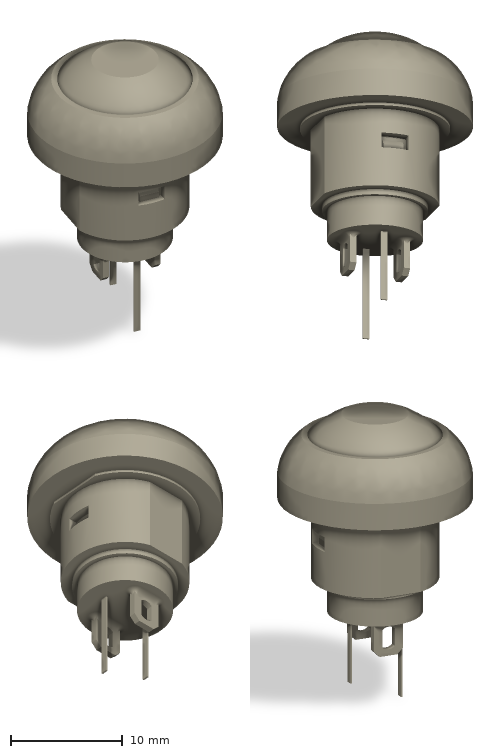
import cadquery as cq
import math

TOTAL_HEIGHT = 27.2
BEZEL_TOP = 25.2
BEZEL_DOME_FOOT = 21.7
BUTTON_SEAT = 20.2
BEZEL_BOTTOM = 19.2
LIP_BOTTOM = 18.95
BARREL_BOTTOM = 11.7
COLLAR_BOTTOM = 11.2
BASE_BOTTOM = 8.5

BEZEL_DIA = 17.5
BEZEL_TOP_DIA = 13.2
BUTTON_BORE_DIA = 12.1
LIP_DIA = 13.45
BARREL_DIA = 11.5
COLLAR_DIA = 9.5
BASE_DIA = 8.6
LENS_DIA = 2.6

BEZEL_MID_RADIUS = 8.02
BEZEL_MID_Z = 23.66

BARREL_ACROSS_FLATS = 10.83
LIP_FLAT_X = 6.15

BUTTON_DIA = 12.0
BUTTON_TOP_DIA = 6.05
BUTTON_SHOULDER = 25.05
BUTTON_MID_RADIUS = 4.6
BUTTON_MID_Z = 26.35

WINDOW_WIDTH = 2.55
WINDOW_BOTTOM = 15.3
WINDOW_TOP = 16.7
WINDOW_BACK_DIA = 10.0
SLIT_BOTTOM = 16.55
SLIT_DEPTH = 0.27
LATCH_WIDTH = 1.9
LATCH_EDGE_Z = 15.88
LATCH_TOP_Z = 16.2
LATCH_REACH = 0.1

TERMINAL_OFFSET = 2.53
TERMINAL_WIDTH = 2.88
TERMINAL_THICKNESS = 0.6
TERMINAL_BOTTOM = 5.1
TERMINAL_CHAMFER = 0.57
EYE_WIDTH = 1.25
EYE_BOTTOM = 5.7
EYE_TOP = 7.85
EYE_CROWN = 0.25
ROOT_RADIUS = 0.55

LEAD_OFFSET = 2.5
LEAD_THICKNESS = 0.15
LEAD_WIDTH = 0.6
SHORT_LEAD_BOTTOM = 2.05
LONG_LEAD_BOTTOM = 0.0


def disc(diameter, bottom, top):
    """Cylinder on the Z axis between two heights."""
    return cq.Workplane("XY").workplane(offset=bottom).circle(diameter / 2).extrude(top - bottom)


def block(x_size, y_size, bottom, top, x=0.0, y=0.0):
    """Upright box centred on (x, y) between two heights."""
    return (
        cq.Workplane("XY")
        .workplane(offset=bottom)
        .center(x, y)
        .rect(x_size, y_size)
        .extrude(top - bottom)
    )


def make_bezel():
    """Domed rim with the bore that holds the button."""
    outline = (
        cq.Workplane("XZ")
        .moveTo(0, BEZEL_BOTTOM)
        .lineTo(BEZEL_DIA / 2, BEZEL_BOTTOM)
        .lineTo(BEZEL_DIA / 2, BEZEL_DOME_FOOT)
        .threePointArc((BEZEL_MID_RADIUS, BEZEL_MID_Z), (BEZEL_TOP_DIA / 2, BEZEL_TOP))
        .lineTo(0, BEZEL_TOP)
        .close()
    )
    dome = outline.revolve(360, (0, 0, 0), (0, 1, 0))
    return dome.cut(disc(BUTTON_BORE_DIA, BUTTON_SEAT, BEZEL_TOP))


def make_lip():
    """Thin locating lip under the bezel, with a flat on its +X side."""
    stock_length = LIP_FLAT_X + LIP_DIA / 2
    stock_centre = (LIP_FLAT_X - LIP_DIA / 2) / 2
    stock = block(stock_length, LIP_DIA, LIP_BOTTOM, BEZEL_BOTTOM, x=stock_centre)
    return disc(LIP_DIA, LIP_BOTTOM, BEZEL_BOTTOM).intersect(stock)


def make_latch():
    """Wedge on the window back wall of the -X side, sloping outward from its top."""
    inside_x = -WINDOW_BACK_DIA / 2 + SLIT_DEPTH
    wedge = (
        cq.Workplane("XZ")
        .moveTo(inside_x, WINDOW_BOTTOM)
        .lineTo(-WINDOW_BACK_DIA / 2 - LATCH_REACH, WINDOW_BOTTOM)
        .lineTo(-WINDOW_BACK_DIA / 2 - LATCH_REACH, LATCH_EDGE_Z)
        .lineTo(-WINDOW_BACK_DIA / 2, LATCH_TOP_Z)
        .lineTo(inside_x, LATCH_TOP_Z)
        .close()
    )
    return wedge.extrude(LATCH_WIDTH / 2, both=True)


def make_barrel():
    """Barrel with flats on the Y sides and a latch window on each X side."""
    barrel = disc(BARREL_DIA, BARREL_BOTTOM, LIP_BOTTOM)
    barrel = barrel.intersect(block(BARREL_DIA, BARREL_ACROSS_FLATS, BARREL_BOTTOM, LIP_BOTTOM))

    window = block(BARREL_DIA, WINDOW_WIDTH, WINDOW_BOTTOM, WINDOW_TOP)
    slit_dia = WINDOW_BACK_DIA - 2 * SLIT_DEPTH
    back_wall = disc(WINDOW_BACK_DIA, WINDOW_BOTTOM, SLIT_BOTTOM)
    slit_wall = disc(slit_dia, SLIT_BOTTOM, WINDOW_TOP)
    barrel = barrel.cut(window.cut(back_wall).cut(slit_wall))

    latch = make_latch()
    return barrel.union(latch).union(latch.mirror("YZ"))


def root_profile(plane, origin):
    """Half section of the root: a concave arc from the base down to the blade."""
    blade_face = TERMINAL_THICKNESS / 2
    arc_centre = blade_face + ROOT_RADIUS
    arc_offset = ROOT_RADIUS * math.sin(math.radians(45))
    bottom = BASE_BOTTOM - ROOT_RADIUS
    return (
        cq.Workplane(plane, origin=origin)
        .moveTo(0, bottom)
        .lineTo(blade_face, bottom)
        .threePointArc((arc_centre - arc_offset, bottom + arc_offset), (arc_centre, BASE_BOTTOM))
        .lineTo(0, BASE_BOTTOM)
        .close()
    )


def make_root(y):
    """Flared root around a terminal, straight along the blade and round at both ends."""
    straight_length = TERMINAL_WIDTH - TERMINAL_THICKNESS
    one_side = root_profile("YZ", (0, y, 0)).extrude(straight_length / 2, both=True)
    root = one_side.union(one_side.rotate((0, y, 0), (0, y, 1), 180))
    for x in (-straight_length / 2, straight_length / 2):
        root = root.union(root_profile("XZ", (x, y, 0)).revolve(360, (0, 0, 0), (0, 1, 0)))
    return root


def make_terminal(y):
    """Solder terminal with an eye and a flared root where it leaves the base."""
    blade = block(TERMINAL_WIDTH, TERMINAL_THICKNESS, TERMINAL_BOTTOM, BASE_BOTTOM, y=y)
    blade = blade.faces("<Z").edges("|Y").chamfer(TERMINAL_CHAMFER)

    eye = (
        cq.Workplane("XZ", origin=(0, y, 0))
        .moveTo(-EYE_WIDTH / 2, EYE_BOTTOM + EYE_CROWN)
        .threePointArc((0, EYE_BOTTOM), (EYE_WIDTH / 2, EYE_BOTTOM + EYE_CROWN))
        .lineTo(EYE_WIDTH / 2, EYE_TOP - EYE_CROWN)
        .threePointArc((0, EYE_TOP), (-EYE_WIDTH / 2, EYE_TOP - EYE_CROWN))
        .close()
        .extrude(TERMINAL_THICKNESS, both=True)
    )
    return blade.cut(eye).union(make_root(y))


def make_lead(x, bottom):
    """Thin flat lamp lead hanging from the base."""
    return block(LEAD_THICKNESS, LEAD_WIDTH, bottom, BASE_BOTTOM, x=x)


def make_housing():
    """Bezel, barrel, base, lamp lens, terminals and leads as one solid."""
    housing = make_bezel().union(make_lip()).union(make_barrel())
    housing = housing.union(disc(COLLAR_DIA, COLLAR_BOTTOM, BARREL_BOTTOM))
    housing = housing.union(disc(BASE_DIA, BASE_BOTTOM, COLLAR_BOTTOM))
    housing = housing.union(disc(LENS_DIA, BUTTON_SEAT, TOTAL_HEIGHT))
    for y in (-TERMINAL_OFFSET, TERMINAL_OFFSET):
        housing = housing.union(make_terminal(y))
    for x, bottom in ((-LEAD_OFFSET, SHORT_LEAD_BOTTOM), (LEAD_OFFSET, LONG_LEAD_BOTTOM)):
        housing = housing.union(make_lead(x, bottom))
    return housing


def make_button():
    """Domed push button around the lens, resting on the floor of the bezel bore."""
    outline = (
        cq.Workplane("XZ")
        .moveTo(LENS_DIA / 2, BUTTON_SEAT)
        .lineTo(BUTTON_DIA / 2, BUTTON_SEAT)
        .lineTo(BUTTON_DIA / 2, BUTTON_SHOULDER)
        .threePointArc((BUTTON_MID_RADIUS, BUTTON_MID_Z), (BUTTON_TOP_DIA / 2, TOTAL_HEIGHT))
        .lineTo(LENS_DIA / 2, TOTAL_HEIGHT)
        .close()
    )
    return outline.revolve(360, (0, 0, 0), (0, 1, 0))


housing = make_housing()
button = make_button()
result = cq.Compound.makeCompound([housing.solids().val(), button.solids().val()])